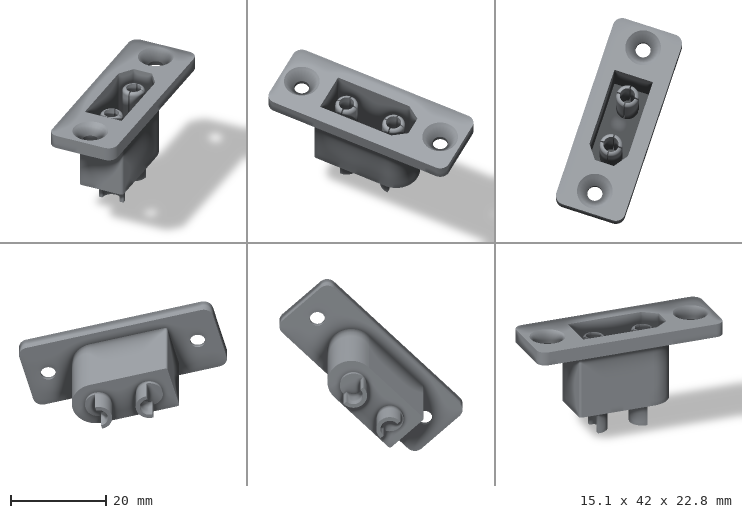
import cadquery as cq

flange_width = 15.1
flange_length = 42.0
flange_thickness = 3.0
flange_corner_radius = 2.0

screw_hole_diameter = 3.2
countersink_diameter = 7.48
countersink_angle = 90.0
screw_hole_offset = 16.2

shell_width = 10.1
shell_length = 21.9
shell_bottom = -17.5
shell_fillet = 0.5

cavity_width = 8.5
cavity_length = 19.65
cavity_corner_x = 2.15
cavity_corner_y = 2.95
floor_thickness = 4.2
floor_top = shell_bottom + floor_thickness

rear_pin_y = 5.3
pin_spacing = 11.0
front_pin_y = rear_pin_y - pin_spacing
shank_diameter = 5.7
barrel_diameter = 4.8
barrel_top = -1.5
barrel_bore_diameter = 3.2
barrel_tip_radius = 0.75
slot_width = 0.3

cup_bottom = -22.8
cup_top = -18.23
cup_bore_diameter = 4.0
rear_cup_cut_offset = 0.0
front_cup_cut_offset = 0.15


def cylinder(diameter, bottom, top, y=0.0):
    """Upright cylinder on the X = 0 plane between two heights."""
    return cq.Workplane("XY", origin=(0, y, bottom)).circle(diameter / 2).extrude(top - bottom)


def make_flange():
    flange = (
        cq.Workplane("XY")
        .rect(flange_width, flange_length)
        .extrude(-flange_thickness)
        .edges("|Z")
        .fillet(flange_corner_radius)
    )
    return (
        flange.faces(">Z")
        .workplane(origin=(0, 0, 0))
        .pushPoints([(0, screw_hole_offset), (0, -screw_hole_offset)])
        .cskHole(screw_hole_diameter, countersink_diameter, countersink_angle)
    )


def make_shell():
    half_width = shell_width / 2
    end_y = shell_length / 2
    arc_start_y = end_y - half_width
    return (
        cq.Workplane("XY")
        .moveTo(-half_width, -end_y)
        .lineTo(half_width, -end_y)
        .lineTo(half_width, arc_start_y)
        .threePointArc((0, end_y), (-half_width, arc_start_y))
        .close()
        .extrude(shell_bottom)
        .edges("|Z and <Y")
        .fillet(shell_fillet)
    )


def make_cavity():
    half_width = cavity_width / 2
    end_y = cavity_length / 2
    return (
        cq.Workplane("XY")
        .polyline([
            (-half_width, -end_y),
            (half_width, -end_y),
            (half_width, end_y - cavity_corner_y),
            (half_width - cavity_corner_x, end_y),
            (cavity_corner_x - half_width, end_y),
            (-half_width, end_y - cavity_corner_y),
        ])
        .close()
        .extrude(floor_top)
    )


def make_housing():
    housing = make_flange().union(make_shell()).cut(make_cavity())
    for pin_y in (rear_pin_y, front_pin_y):
        housing = housing.cut(cylinder(shank_diameter, shell_bottom, floor_top, pin_y))
    return housing


def make_barrel():
    """Split contact barrel with a rounded tip, standing on the shank."""
    barrel = cylinder(barrel_diameter, floor_top, barrel_top)
    barrel = barrel.faces(">Z").edges().fillet(barrel_tip_radius)
    barrel = barrel.cut(cylinder(barrel_bore_diameter, floor_top, barrel_top))
    slot_height = barrel_top - floor_top
    for size in ((barrel_diameter, slot_width), (slot_width, barrel_diameter)):
        slot = cq.Workplane("XY", origin=(0, 0, floor_top)).rect(*size).extrude(slot_height)
        barrel = barrel.cut(slot)
    return barrel


def make_pin(pin_y, open_side, cut_offset):
    """Contact pin whose solder cup is open towards open_side (+1 is +Y, -1 is -Y)."""
    shank = cylinder(shank_diameter, cup_bottom, floor_top)
    shank = shank.cut(cylinder(cup_bore_diameter, cup_bottom, cup_top))
    cup_height = cup_top - cup_bottom
    opening = (
        cq.Workplane("XY", origin=(0, open_side * cut_offset, cup_bottom))
        .center(0, open_side * shank_diameter / 2)
        .rect(shank_diameter, shank_diameter)
        .extrude(cup_height)
    )
    return shank.cut(opening).union(make_barrel()).translate((0, pin_y, 0))


housing = make_housing()
pin_settings = [
    (rear_pin_y, 1, rear_cup_cut_offset),
    (front_pin_y, -1, front_cup_cut_offset),
]
pins = [make_pin(*settings) for settings in pin_settings]

result = cq.Compound.makeCompound([housing.val(), *[pin.val() for pin in pins]])